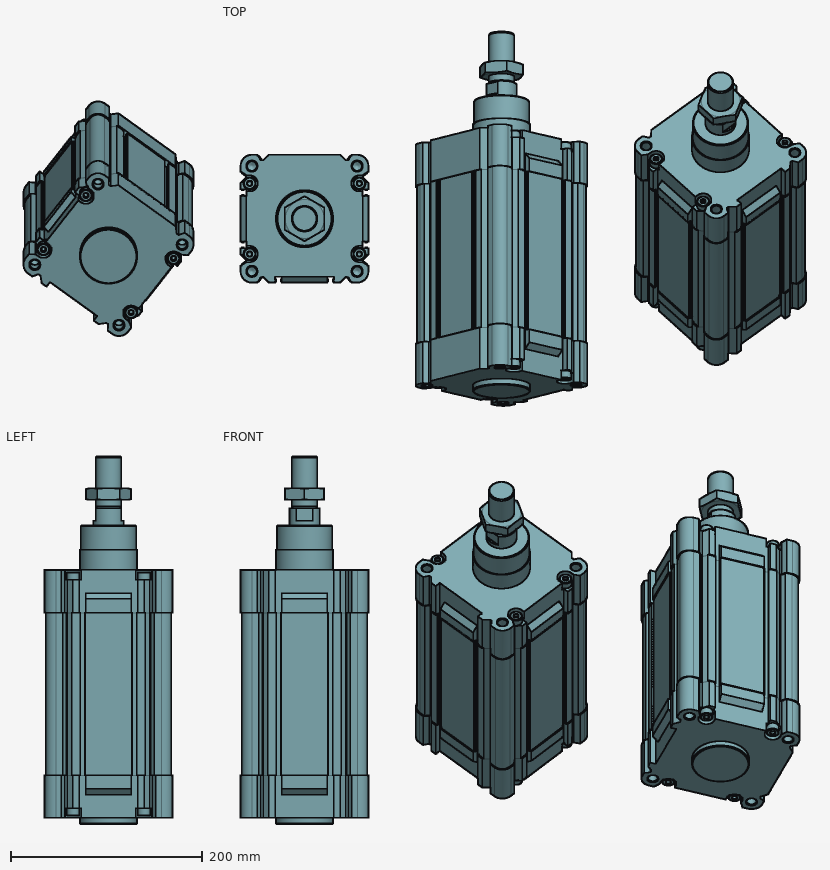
import cadquery as cq
import math

total_height = 385.0
lower_boss_height = 6.5
housing_height = 259.5
cap_height = 44.5
boss_step_z = 287.2
boss_top_z = 312.5
rod_shoulder_z = 330.7
housing_top_z = lower_boss_height + housing_height
housing_mid_z = lower_boss_height + housing_height / 2
cap_base_z = housing_top_z - cap_height
barrel_base_z = lower_boss_height + cap_height
barrel_height = cap_base_z - barrel_base_z

notch_floor = 61.2
notch_floor_inner = 43.0

cap_width = 134.0
cap_half = cap_width / 2
corner_center = 55.0
recess_half_width = 30.8
recess_face = 61.0
cap_notch_outer = 49.3
cap_notch_floor_outer = 46.0
pad_half_width = 24.0
pad_height = 20.5
corner_hole_diameter = 10.0
corner_hole_mouth_diameter = 12.0
corner_hole_depth = 15.5

screw_x = 57.5
screw_y = 37.0
counterbore_diameter = 17.0
counterbore_depth = 10.5
screw_head_diameter = 13.0
screw_head_height = 8.0
screw_head_chamfer = 0.8
screw_socket_diameter = 5.0
screw_socket_mouth_diameter = 5.8
screw_socket_depth = 4.0
drill_point_angle = 118.0

all_sides = (0, 90, 180, 270)
recessed_sides = (0, 90, 270)
opposite_sides = (0, 180)

barrel_width = 131.5
barrel_half = barrel_width / 2
barrel_notch_outer = 47.7
barrel_notch_floor_outer = 44.3
slot_mouth_inner = 25.0
slot_mouth_outer = 29.5
slot_floor = recess_face
slot_lip = 2.5
panel_chamfer = 0.95

boss_diameter = 60.0
upper_boss_diameter = 58.0
boss_chamfer = 0.95

rod_diameter = 32.0
rod_flat_width = 27.0
rod_flat_base_z = 317.5
thread_diameter = 27.0
thread_tip_diameter = 25.0
thread_chamfer_angle = 30.0

nut_sides = 6
nut_base_z = 339.0
nut_height = 12.5
nut_across_flats = 41.0
nut_chamfer_angle = 15.0


def cylinder(diameter, bottom_z, top_z):
    return cq.Workplane("XY", origin=(0, 0, bottom_z)).circle(diameter / 2).extrude(top_z - bottom_z)


def rounded_square(width, base_z, height):
    corner_radius = width / 2 - corner_center
    block = cq.Workplane("XY", origin=(0, 0, base_z)).rect(width, width).extrude(height)
    return block.edges("|Z").fillet(corner_radius)


def both_ends_of_side(points, base_z, height):
    """Extrude a side outline and its mirror image about X = 0."""
    cut = cq.Workplane("XY", origin=(0, 0, base_z)).polyline(points).close().extrude(height)
    return cut.union(cut.mirror("YZ"))


def around_axis(shape, angles):
    return [shape.rotate((0, 0, 0), (0, 0, 1), angle) for angle in angles]


def notch(half_width, outer, floor_outer, base_z, height):
    """Corner notches of the -Y side; the inner wall rises at 45 degrees."""
    points = [
        (outer, -half_width),
        (floor_outer, -notch_floor),
        (notch_floor_inner, -notch_floor),
        (notch_floor_inner - (half_width - notch_floor), -half_width),
    ]
    return both_ends_of_side(points, base_z, height)


def pointed_hole(diameter, mouth_diameter, depth, top_z):
    """Cutter for a blind hole with a chamfered mouth and a conical drill point."""
    radius = diameter / 2
    mouth_radius = mouth_diameter / 2
    point_depth = radius / math.tan(math.radians(drill_point_angle / 2))
    outline = [
        (0, top_z),
        (mouth_radius, top_z),
        (radius, top_z - (mouth_radius - radius)),
        (radius, top_z - depth),
        (0, top_z - depth - point_depth),
    ]
    return cq.Workplane("XZ").polyline(outline).close().revolve(360, (0, 0, 0), (0, 1, 0))


def make_barrel():
    barrel = rounded_square(barrel_width, barrel_base_z, barrel_height)
    notches = notch(barrel_half, barrel_notch_outer, barrel_notch_floor_outer,
                    barrel_base_z, barrel_height)
    lip_floor = barrel_half - slot_lip
    slot_outline = [
        (slot_mouth_inner - panel_chamfer, -barrel_half),
        (slot_mouth_inner, -barrel_half + panel_chamfer),
        (slot_mouth_inner, -lip_floor),
        (pad_half_width, -lip_floor),
        (pad_half_width, -slot_floor),
        (recess_half_width, -slot_floor),
        (recess_half_width, -lip_floor),
        (slot_mouth_outer, -lip_floor),
        (slot_mouth_outer, -barrel_half),
    ]
    slots = both_ends_of_side(slot_outline, barrel_base_z, barrel_height)
    for cut in around_axis(notches.union(slots), all_sides):
        barrel = barrel.cut(cut)
    return barrel


def make_side_recess():
    """Recess of the -Y side, leaving a pad with a 45 degree top."""
    depth = cap_half - recess_face
    recess = cq.Workplane("XY", origin=(0, -(cap_half + recess_face) / 2, cap_base_z)).box(
        2 * recess_half_width, depth, cap_height, centered=(True, True, False))
    pad_outline = [
        (-recess_face, cap_base_z),
        (-cap_half, cap_base_z),
        (-cap_half, cap_base_z + pad_height - depth),
        (-recess_face, cap_base_z + pad_height),
    ]
    pad = cq.Workplane("YZ").polyline(pad_outline).close().extrude(pad_half_width, both=True)
    return recess.cut(pad)


def make_counterbore():
    """Counterbore on the +X side, opened outward through the side of the cap."""
    floor_z = housing_top_z - counterbore_depth
    bore = cylinder(counterbore_diameter, floor_z, housing_top_z)
    opening = cq.Workplane("XY", origin=(0, 0, floor_z)).box(
        counterbore_diameter, counterbore_diameter, counterbore_depth, centered=(False, True, False))
    return bore.union(opening)


def make_screw_head():
    floor_z = housing_top_z - counterbore_depth
    head_top_z = floor_z + screw_head_height
    head = cylinder(screw_head_diameter, floor_z, head_top_z).faces(">Z").chamfer(screw_head_chamfer)
    return head.cut(pointed_hole(screw_socket_diameter, screw_socket_mouth_diameter,
                                 screw_socket_depth, head_top_z))


def make_cap():
    cap = rounded_square(cap_width, cap_base_z, cap_height)
    notches = notch(cap_half, cap_notch_outer, cap_notch_floor_outer, cap_base_z, cap_height)
    for cut in around_axis(notches, all_sides):
        cap = cap.cut(cut)
    for cut in around_axis(make_side_recess(), recessed_sides):
        cap = cap.cut(cut)

    corner_hole = pointed_hole(corner_hole_diameter, corner_hole_mouth_diameter,
                               corner_hole_depth, housing_top_z)
    counterbore = make_counterbore()
    screw_head = make_screw_head()
    for side_y in (-1, 1):
        corner_place = (corner_center, side_y * corner_center, 0)
        screw_place = (screw_x, side_y * screw_y, 0)
        for cut in around_axis(corner_hole.translate(corner_place), opposite_sides):
            cap = cap.cut(cut)
        for cut in around_axis(counterbore.translate(screw_place), opposite_sides):
            cap = cap.cut(cut)
        for head in around_axis(screw_head.translate(screw_place), opposite_sides):
            cap = cap.union(head)
    return cap


def make_housing():
    cap = make_cap()
    lower_cap = cap.mirror("XY", (0, 0, housing_mid_z))
    lower_boss = cylinder(boss_diameter, 0, lower_boss_height).faces("<Z").chamfer(boss_chamfer)
    boss = cylinder(boss_diameter, housing_top_z, boss_step_z)
    upper_boss = cylinder(upper_boss_diameter, boss_step_z, boss_top_z).faces(">Z").chamfer(boss_chamfer)
    housing = make_barrel()
    for piece in (cap, lower_cap, lower_boss, boss, upper_boss):
        housing = housing.union(piece, clean=False)
    return housing


def make_rod():
    shank = cylinder(rod_diameter, boss_top_z, rod_shoulder_z)
    flats = cq.Workplane("XY", origin=(0, 0, rod_flat_base_z)).rect(rod_diameter, rod_flat_width).extrude(
        rod_shoulder_z - rod_flat_base_z)
    lower_shank = cylinder(rod_diameter, boss_top_z, rod_flat_base_z)
    chamfer_width = (thread_diameter - thread_tip_diameter) / 2
    chamfer_length = chamfer_width / math.tan(math.radians(thread_chamfer_angle))
    thread = cylinder(thread_diameter, rod_shoulder_z, total_height)
    thread = thread.faces("<Z or >Z").chamfer(chamfer_length, chamfer_width)
    return shank.intersect(flats.union(lower_shank)).union(thread)


def make_nut():
    half_corner_angle = 180 / nut_sides
    corner_diameter = nut_across_flats / math.cos(math.radians(half_corner_angle))
    chamfer_width = (corner_diameter - nut_across_flats) / 2
    chamfer_height = chamfer_width * math.tan(math.radians(nut_chamfer_angle))
    hexagon = cq.Workplane("XY", origin=(0, 0, nut_base_z)).polygon(nut_sides, corner_diameter)
    hexagon = hexagon.extrude(nut_height).rotate((0, 0, 0), (0, 0, 1), half_corner_angle)
    envelope = cylinder(corner_diameter, nut_base_z, nut_base_z + nut_height)
    envelope = envelope.faces("<Z or >Z").chamfer(chamfer_height, chamfer_width)
    thread_hole = cylinder(thread_diameter, nut_base_z, nut_base_z + nut_height)
    return hexagon.intersect(envelope).cut(thread_hole)


housing = make_housing()
rod = make_rod()
nut = make_nut()
result = cq.Compound.makeCompound([housing.val(), rod.val(), nut.val()])